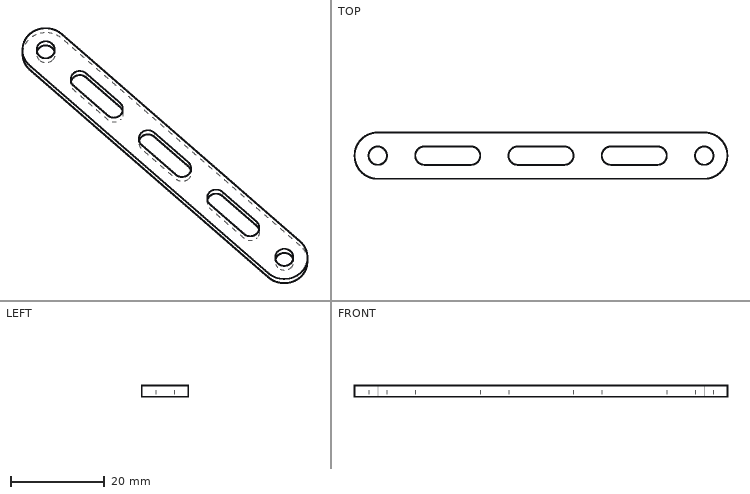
import cadquery as cq

length = 80.0
width = 10.0
thickness = 2.5

hole_diameter = 3.9
hole_spacing = length - width

slot_width = hole_diameter
slot_center_travel = 10.0
slot_length = slot_center_travel + slot_width
slot_pitch = 20.0
slot_count = 3


def make_bar():
    """Flat bar with full-round ends, resting on the XY plane."""
    return cq.Workplane("XY").slot2D(length, width).extrude(thickness)


def cut_end_holes(body):
    """Through hole concentric with each rounded end."""
    hole_centers = [(-hole_spacing / 2, 0), (hole_spacing / 2, 0)]
    holes = cq.Workplane("XY").pushPoints(hole_centers).circle(hole_diameter / 2).extrude(thickness)
    return body.cut(holes)


def cut_slots(body):
    """Row of evenly spaced through slots, centred along the bar."""
    first_slot_x = -slot_pitch * (slot_count - 1) / 2
    slot_centers = [(first_slot_x + i * slot_pitch, 0) for i in range(slot_count)]
    slots = cq.Workplane("XY").pushPoints(slot_centers).slot2D(slot_length, slot_width).extrude(thickness)
    return body.cut(slots)


bar = make_bar()
bar = cut_end_holes(bar)
result = cut_slots(bar)